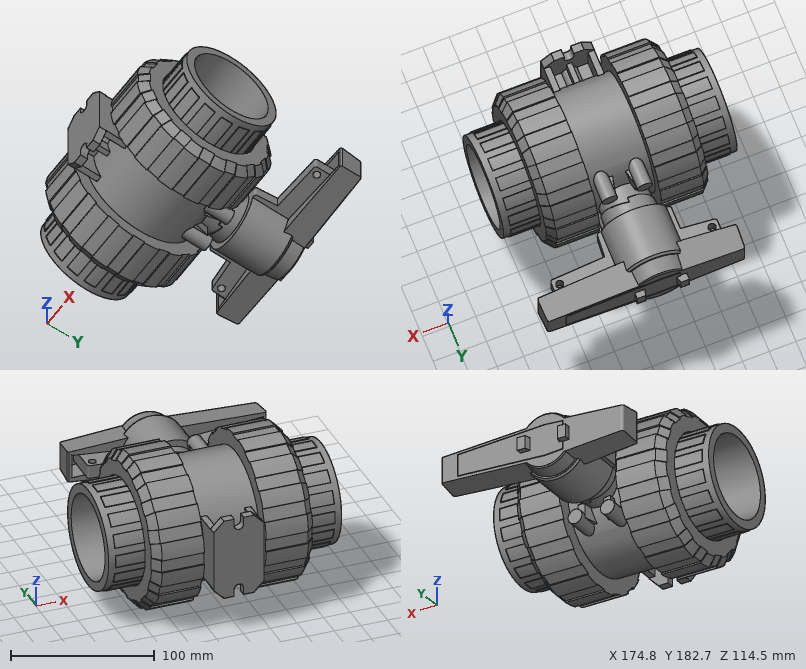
import cadquery as cq

overall_length = 174.8
bore_dia = 50.0
socket_dia = 63.0
socket_depth = 38.4
pipe_dia = 76.5
body_dia = 90.5
body_half_length = 23.2

grip_count = 16
grip_step = 360 / grip_count
pad_dia = 77.8
pad_width = 9.5
pad_end_gap = 5.1

nut_dia = 114.9
nut_bore = 79.0
nut_bore_depth = 1.8
nut_outer_x = 60.5
nut_chamfer_x = 5.7
nut_chamfer_r = 6.2
nut_groove_width = 9.7
nut_groove_depth = 1.5

stem_dia = 40.0
neck_dia = 37.6
stem_bottom = 51.5
cam_count = 4
cam_rise = 3.5
cam_run = 18.3
post_dia = 11.3
post_x = 13.2
post_z = 27.4
gusset_top = 47.5
gusset_bottom = 27.4
gusset_inner_x = 3.0
gusset_start_z = 16.5
gusset_end_z = 28.0

hub_dia = 50.0
hub_bottom = 63.0
hub_top = 101.7
hub_chamfer_radial = 1.1
hub_chamfer_axial = 1.8
cap_base_radius = 22.7
cap_top_radius = 21.2
cap_chamfer = 1.0
arm_top = 113.6
arm_bottom = 93.3
arm_end_rise = 1.8
arm_left = -64.1
arm_right = 85.1
arm_end_draft = 0.7
arm_corner_radius = 1.8
arm_center_half_height = 14.5
arm_end_half_height = 10.0
arm_side_draft = 2.2
arm_wall = 2.7
arm_lip_x = 0.7
arm_lip_y = 1.6
cavity_center_half_height = 4.7
cavity_end_half_height = 9.0

web_thickness = 10.0
web_left = -53.9
web_right = 70.9
web_end_bottom = 83.7
web_hub_bottom = 81.3
web_skirt_left = -27.8
web_skirt_right = 27.5
web_skirt_flare = 1.5
web_corner_radius = 2.0
eyelet_dia = 5.5
eyelet_inset = 5.3
eyelet_y = 88.6

prong_top = 118.7
prong_outer_x = 19.5
prong_inner_x = 11.7
prong_slant = 1.5
rest_height = 0.5
rest_left = -14.6
rest_margin = 2.2

bracket_face = -64.0
plate_thickness = 6.0
plate_width = 37.8
plate_height = 62.1
plate_chamfer = 7.7
notch_width = 7.1
notch_depth = 9.0
leg_thickness = 4.7
leg_height = 45.7
cross_rib_thickness = 4.0
center_rib_height = 30.0
boss_dia = 12.5
root_overlap = 9.1
bore_clearance = 7.3


def x_cylinder(diameter, x_start, x_end):
    return cq.Workplane("YZ", origin=(x_start, 0, 0)).circle(diameter / 2).extrude(x_end - x_start)


def y_cylinder(diameter, y_start, y_end, x=0, z=0):
    plane = cq.Workplane("XZ", origin=(x, y_start, z))
    return plane.circle(diameter / 2).extrude(y_start - y_end)


def box(x_range, y_range, z_range):
    size = [end - start for start, end in (x_range, y_range, z_range)]
    corner = (x_range[0], y_range[0], z_range[0])
    return cq.Workplane("XY").box(*size, centered=False).translate(corner)


def slab(outline, z_start, z_end):
    """Closed XY outline extruded along Z."""
    return cq.Workplane("XY", origin=(0, 0, z_start)).polyline(outline).close().extrude(z_end - z_start)


def both_ends(shape):
    return shape.union(shape.mirror("YZ"))


def make_pipe_pads():
    """Raised pads around the pipe end on the -X side."""
    x_start = -overall_length / 2 + pad_end_gap
    ring = x_cylinder(pad_dia, x_start, -nut_outer_x + nut_chamfer_x)
    bars = cq.Workplane("XY")
    for index in range(grip_count):
        bar = box((x_start, -body_half_length), (-pad_width / 2, pad_width / 2), (0, pad_dia))
        bars = bars.add(bar.rotate((0, 0, 0), (1, 0, 0), index * grip_step))
    return ring.intersect(bars.combine())


def make_nut():
    """Union nut on the -X side with a chamfered outer end and grooves between its ribs."""
    radius = nut_dia / 2
    groove_radius = radius - nut_groove_depth
    outer, shoulder, inner = -nut_outer_x, -nut_outer_x + nut_chamfer_x, -body_half_length
    nut_outline = [
        (outer, 0),
        (outer, radius - nut_chamfer_r),
        (shoulder, radius),
        (inner, radius),
        (inner, 0),
    ]
    nut = cq.Workplane("XY").polyline(nut_outline).close().revolve(360, (0, 0, 0), (1, 0, 0))
    groove_outline = [
        (outer, groove_radius - nut_chamfer_r),
        (shoulder, groove_radius),
        (inner, groove_radius),
        (inner, nut_dia),
        (outer, nut_dia),
    ]
    groove = slab(groove_outline, -nut_groove_width / 2, nut_groove_width / 2)
    for index in range(grip_count):
        nut = nut.cut(groove.rotate((0, 0, 0), (1, 0, 0), index * grip_step))
    return nut.cut(x_cylinder(nut_bore, outer, outer + nut_bore_depth))


def make_bores():
    """Through bore with a wider pipe socket at each end."""
    half_length = overall_length / 2
    socket = x_cylinder(socket_dia, -half_length, -half_length + socket_depth)
    return both_ends(socket).union(x_cylinder(bore_dia, -half_length, half_length))


def make_stem():
    """Stem sleeve with ramped cams on its lower edge, over a slightly thinner neck."""
    sleeve = y_cylinder(stem_dia, stem_bottom, hub_bottom)
    cam_outline = [(0, stem_bottom), (0, stem_bottom + cam_rise), (cam_run, stem_bottom)]
    cam = slab(cam_outline, 0, stem_dia)
    for index in range(cam_count):
        sleeve = sleeve.cut(cam.rotate((0, 0, 0), (0, 1, 0), index * 360 / cam_count))
    return sleeve.union(y_cylinder(neck_dia, bore_dia / 2, hub_bottom))


def make_stops():
    """Four posts beside the stem, each with a tapered gusset on its inner side."""
    post = y_cylinder(post_dia, 0, stem_bottom, -post_x, post_z)
    post_side = post_dia / 2 - post_x
    gusset_outline = [
        (-post_x, gusset_top),
        (post_side, gusset_top),
        (-gusset_inner_x, gusset_bottom),
        (-post_x, gusset_bottom),
    ]
    pair = both_ends(post.union(slab(gusset_outline, gusset_start_z, gusset_end_z)))
    return pair.union(pair.mirror("XY"))


def arm_prism(inset, y_bottom, y_top):
    """Drafted bar, tallest over the hub and tapering to both ends, shrunk by inset."""
    left, right = arm_left + inset, arm_right - inset
    draft_slope = arm_side_draft / (arm_top - arm_bottom)

    def outline(y):
        growth = (arm_top - y) * draft_slope - inset
        center, end = arm_center_half_height + growth, arm_end_half_height + growth
        return [
            cq.Vector(left, y, -end),
            cq.Vector(0, y, -center),
            cq.Vector(right, y, -end),
            cq.Vector(right, y, end),
            cq.Vector(0, y, center),
            cq.Vector(left, y, end),
        ]

    wires = [cq.Wire.makePolygon(outline(y), close=True) for y in (y_bottom, y_top)]
    return cq.Workplane(cq.Solid.makeLoft(wires, True))


def make_cavity():
    """Hollow of the handle bar, open toward the valve body and widening to both ends."""
    left, right = arm_left + arm_wall, arm_right - arm_wall
    outline = [
        (left, -cavity_end_half_height),
        (0, -cavity_center_half_height),
        (right, -cavity_end_half_height),
        (right, cavity_end_half_height),
        (0, cavity_center_half_height),
        (left, cavity_end_half_height),
    ]
    roof = cq.Workplane("XZ", origin=(0, arm_top - arm_wall, 0))
    return roof.polyline(outline).close().extrude(arm_top - arm_bottom)


def make_arm():
    """Hollow handle bar with leaning ends, rounded top corners and chamfered lower corners."""
    depth = arm_center_half_height * 2
    end_bottom = arm_bottom + arm_end_rise
    side_outline = [
        (arm_left, end_bottom + arm_lip_y),
        (arm_left + arm_lip_x, end_bottom),
        (-hub_dia / 2, arm_bottom),
        (hub_dia / 2, arm_bottom),
        (arm_right - arm_lip_x, end_bottom),
        (arm_right, end_bottom + arm_lip_y),
        (arm_right - arm_end_draft, arm_top),
        (arm_left + arm_end_draft, arm_top),
    ]
    side = slab(side_outline, -depth, depth)
    for corner_x in (arm_left + arm_end_draft, arm_right - arm_end_draft):
        corner = cq.selectors.NearestToPointSelector((corner_x, arm_top, 0))
        side = side.edges("|Z").edges(corner).fillet(arm_corner_radius)
    return arm_prism(0, arm_bottom, arm_top).intersect(side).cut(make_cavity())


def make_web():
    """Flat web through the handle, with an eyelet at each tip and a skirt beside the hub."""
    outline = [
        (web_left, arm_top - arm_wall),
        (web_left, web_end_bottom),
        (web_skirt_left, web_hub_bottom),
        (web_skirt_left, hub_bottom),
        (web_skirt_right, hub_bottom),
        (web_skirt_right + web_skirt_flare, web_hub_bottom),
        (web_right, web_end_bottom),
        (web_right, arm_top - arm_wall),
    ]
    web = slab(outline, -web_thickness / 2, web_thickness / 2)
    lower_corners = [
        (web_left, web_end_bottom),
        (web_right, web_end_bottom),
        (web_skirt_left, hub_bottom),
        (web_skirt_right, hub_bottom),
    ]
    for x, y in lower_corners:
        corner = cq.selectors.NearestToPointSelector((x, y, 0))
        web = web.edges("|Z").edges(corner).fillet(web_corner_radius)
    for x in (web_left + eyelet_inset, web_right - eyelet_inset):
        eyelet = cq.Workplane("XY", origin=(x, eyelet_y, 0)).circle(eyelet_dia / 2)
        web = web.cut(eyelet.extrude(web_thickness, both=True))
    return web


def make_hub():
    """Round hub with a tapered cap."""
    outline = [
        (0, hub_bottom),
        (hub_dia / 2, hub_bottom),
        (hub_dia / 2, hub_top - hub_chamfer_axial),
        (hub_dia / 2 - hub_chamfer_radial, hub_top),
        (cap_base_radius, hub_top),
        (cap_top_radius, arm_top - cap_chamfer),
        (cap_top_radius - cap_chamfer, arm_top),
        (0, arm_top),
    ]
    return cq.Workplane("XY").polyline(outline).close().revolve(360, (0, 0, 0), (0, 1, 0))


def make_top_details():
    """Two upright prongs and a thin raised rest along the longer arm."""
    prong_outline = [
        (-prong_outer_x, arm_top - arm_wall),
        (-prong_outer_x, prong_top),
        (-prong_inner_x - prong_slant, prong_top),
        (-prong_inner_x, arm_top),
        (-prong_inner_x, arm_top - arm_wall),
    ]
    prongs = both_ends(slab(prong_outline, -web_thickness / 2, web_thickness / 2))
    rest = arm_prism(rest_margin, arm_top - arm_wall, arm_top + rest_height)
    rest_span = box((rest_left, web_right), (arm_bottom, prong_top), (-hub_dia, hub_dia))
    return prongs.union(rest.intersect(rest_span))


def make_bracket():
    """Notched mounting plate carried by two legs, a cross rib, a center rib and a boss."""
    plate_back = bracket_face + plate_thickness
    plate = box(
        (-plate_width / 2, plate_width / 2),
        (bracket_face, plate_back),
        (-plate_height / 2, plate_height / 2),
    )
    plate = plate.edges("|Y").chamfer(plate_chamfer)
    notch_radius = notch_width / 2
    for side in (1, -1):
        notch_center = side * (plate_height / 2 - notch_depth + notch_radius)
        z_range = sorted((notch_center, side * plate_height))
        plate = plate.cut(box((-notch_radius, notch_radius), (bracket_face, plate_back), z_range))
        plate = plate.cut(y_cylinder(notch_width, bracket_face, plate_back, 0, notch_center))

    root = -body_dia / 2 + root_overlap
    support_y = (plate_back, root)
    leg = box(
        (-plate_width / 2, -plate_width / 2 + leg_thickness),
        (plate_back, -bore_dia / 2 - bore_clearance),
        (-leg_height / 2, leg_height / 2),
    )
    half_rib = cross_rib_thickness / 2
    cross_rib = box((-plate_width / 2, plate_width / 2), support_y, (-half_rib, half_rib))
    center_rib = box((-half_rib, half_rib), support_y, (-center_rib_height / 2, center_rib_height / 2))
    boss = y_cylinder(boss_dia, plate_back, root)
    return plate.union(both_ends(leg)).union(cross_rib).union(center_rib).union(boss)


valve = x_cylinder(pipe_dia, -overall_length / 2, overall_length / 2)
valve = valve.union(x_cylinder(body_dia, -body_half_length, body_half_length))
valve = valve.union(both_ends(make_nut())).union(both_ends(make_pipe_pads()))
valve = valve.union(make_stem()).union(make_stops()).union(make_bracket())
valve = valve.cut(make_bores())

handle = make_arm().union(make_web()).union(make_hub()).union(make_top_details())
result = valve.union(handle)